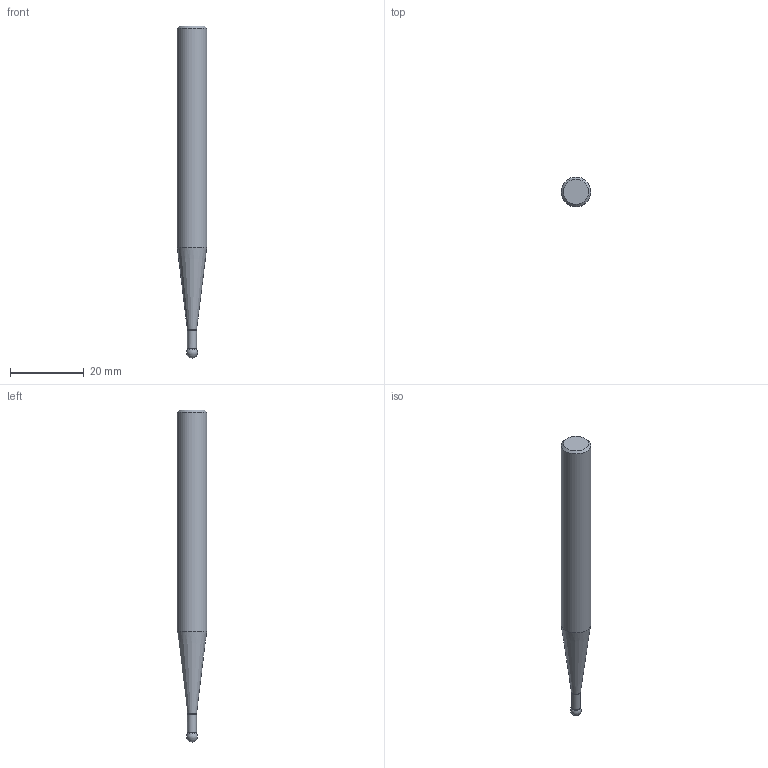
import cadquery as cq
import math

total_length = 90.0
shank_diameter = 8.0
shank_length = 60.0
shank_chamfer = 0.6

ball_diameter = 3.0
tip_length = 2.5

neck_diameter = 2.46
neck_corner_z = 7.57
neck_blend_radius = 1.2

shank_radius = shank_diameter / 2
ball_radius = ball_diameter / 2
neck_radius = neck_diameter / 2
cone_top_z = total_length - shank_length

ball_top_z = ball_radius + math.sqrt(ball_radius**2 - neck_radius**2)


def revolve_about_z(profile):
    """Turn a closed half profile (radius, Z) a full circle around the tool axis."""
    return profile.revolve(360, (0, 0, 0), (0, 1, 0))


def make_shank():
    """Neck, cone and chamfered cylindrical shank in one piece."""
    profile = (
        cq.Workplane("XZ")
        .moveTo(0, tip_length)
        .lineTo(neck_radius, tip_length)
        .lineTo(neck_radius, neck_corner_z)
        .lineTo(shank_radius, cone_top_z)
        .lineTo(shank_radius, total_length - shank_chamfer)
        .lineTo(shank_radius - shank_chamfer, total_length)
        .lineTo(0, total_length)
        .close()
    )
    neck_corner = cq.selectors.NearestToPointSelector((0, 0, neck_corner_z))
    return revolve_about_z(profile).edges("%CIRCLE").edges(neck_corner).fillet(neck_blend_radius)


def make_cutting_tip():
    """Ball with a short stub of neck diameter that butts against the neck."""
    profile = (
        cq.Workplane("XZ")
        .moveTo(0, 0)
        .threePointArc((ball_radius, ball_radius), (neck_radius, ball_top_z))
        .lineTo(neck_radius, tip_length)
        .lineTo(0, tip_length)
        .close()
    )
    return revolve_about_z(profile)


shank = make_shank()
cutting_tip = make_cutting_tip()

result = cq.Compound.makeCompound([shank.val(), cutting_tip.val()])